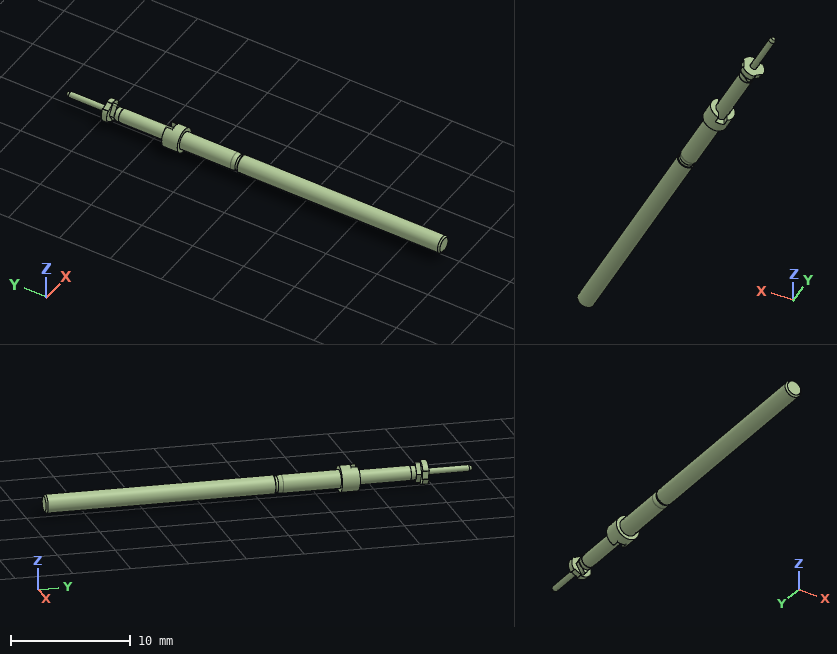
import cadquery as cq
import math

total_length = 37.0

barrel_radius = 0.81
tail_chamfer = 0.15
groove_radius = 0.7
groove_start = 19.85
groove_floor_end = 20.1
groove_end = 20.5

collar_radius = 1.15
collar_start = 25.5
collar_end = 27.05
slot_width = 0.8
slot_depth = 0.6

sleeve_radius = 0.65
sleeve_end = 31.6
neck_radius = 0.62

key_length = 0.45
key_half_width = 0.62
key_flank_angle = 60.0
key_tip_radius = 0.15

flange_radius = 1.05
flange_start = 32.5
flange_end = 33.05
notch_count = 3
notch_width = 0.72
notch_depth = 0.17

pin_radius = 0.3
tip_chamfer_length = 0.3
tip_chamfer_inset = 0.12


def section(start, end):
    """Workplane at distance start from the tail (local x toward -X, y toward +Z), and the length to end."""
    plane = cq.Plane(origin=(0, start, 0), xDir=(-1, 0, 0), normal=(0, 1, 0))
    return cq.Workplane(plane), end - start


def cylinder(radius, start, end):
    plane, length = section(start, end)
    return plane.circle(radius).extrude(length)


def make_barrel():
    """Barrel with a chamfered tail and a crimp groove, rolled over on its front side."""
    roll_length = groove_end - groove_floor_end
    roll_height = barrel_radius - groove_radius
    roll_radius = (roll_length**2 + roll_height**2) / (2 * roll_height)
    profile = (
        cq.Workplane("XY")
        .moveTo(0, 0)
        .lineTo(barrel_radius - tail_chamfer, 0)
        .lineTo(barrel_radius, tail_chamfer)
        .lineTo(barrel_radius, groove_start)
        .lineTo(groove_radius, groove_start)
        .lineTo(groove_radius, groove_floor_end)
        .radiusArc((barrel_radius, groove_end), -roll_radius)
        .lineTo(barrel_radius, collar_start)
        .lineTo(0, collar_start)
        .close()
    )
    return profile.revolve(360, (0, 0, 0), (0, 1, 0))


def make_collar():
    plane, length = section(collar_end - slot_depth, collar_end)
    slot = plane.rect(slot_width, 2 * collar_radius).extrude(length)
    return cylinder(collar_radius, collar_start, collar_end).cut(slot)


def make_key():
    """Upright diamond, pointed at its sides and rounded at top and bottom."""
    point_height = key_half_width * math.tan(math.radians(key_flank_angle))
    outline = [
        (key_half_width, 0),
        (0, point_height),
        (-key_half_width, 0),
        (0, -point_height),
    ]
    plane, length = section(flange_start - key_length, flange_start)
    diamond = plane.polyline(outline).close().extrude(length)
    top_and_bottom_edges = diamond.edges("|Y and (>Z or <Z)")
    return top_and_bottom_edges.fillet(key_tip_radius)


def make_flange():
    """Disc with square notches spaced evenly around its rim, the first toward +X."""
    flange = cylinder(flange_radius, flange_start, flange_end)
    plane, length = section(flange_start, flange_end)
    notch = plane.center(-flange_radius, 0).rect(2 * notch_depth, notch_width).extrude(length)
    for index in range(notch_count):
        angle = index * 360 / notch_count
        flange = flange.cut(notch.rotate((0, 0, 0), (0, 1, 0), angle))
    return flange


def make_pin():
    """Contact pin with a slim taper at its tip."""
    taper_start = total_length - tip_chamfer_length
    tip_radius = pin_radius - tip_chamfer_inset
    profile = (
        cq.Workplane("XY")
        .moveTo(0, flange_end)
        .lineTo(pin_radius, flange_end)
        .lineTo(pin_radius, taper_start)
        .lineTo(tip_radius, total_length)
        .lineTo(0, total_length)
        .close()
    )
    return profile.revolve(360, (0, 0, 0), (0, 1, 0))


def make_sleeve():
    sleeve = cylinder(sleeve_radius, collar_start, sleeve_end)
    neck = cylinder(neck_radius, sleeve_end, flange_start - key_length)
    return sleeve.union(neck)


result = (
    make_barrel()
    .union(make_collar())
    .union(make_sleeve())
    .union(make_key())
    .union(make_flange())
    .union(make_pin())
)